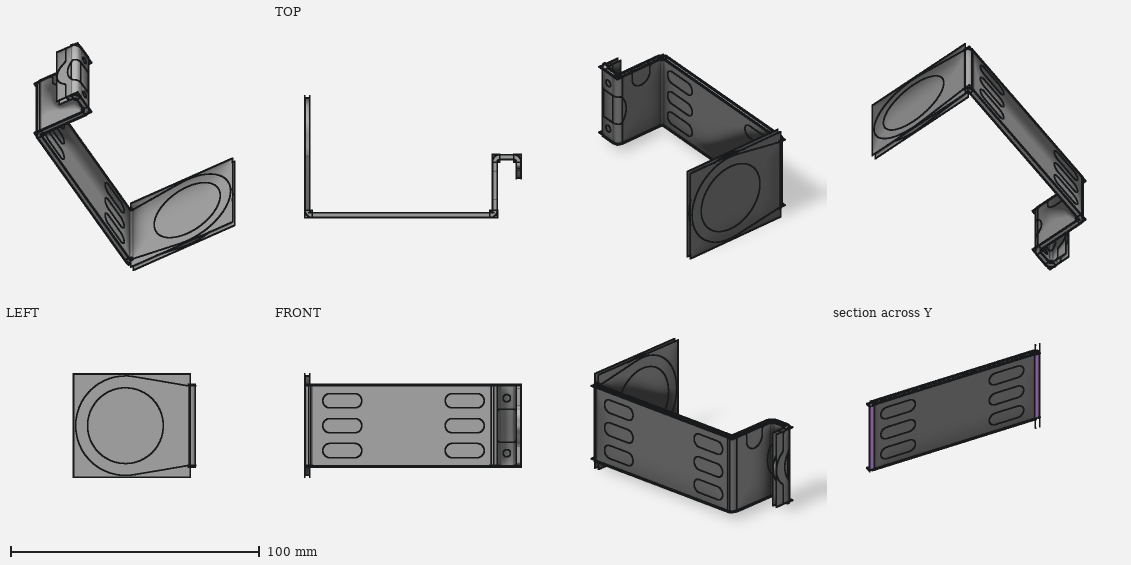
import cadquery as cq
import math

overall_x = 87.1
overall_y = 49.1
overall_z = 41.6

thickness = 2.0
bend_outer = 3.0
bend_inner = bend_outer - thickness
strip_half = 16.0
joint_overlap = 0.1

overshoot = 0.02
sheet_thickness = 0.04
sheet_inset = 0.01
flap_rise = 0.03
corner_overhang = overshoot * bend_outer
sheet_half = strip_half * (1 + 2 * overshoot)

strip_x = overall_x - 2 * corner_overhang
arm_x = 77.4
flange_y = 25.3
bridge_end = arm_x - bend_outer
flange_start = arm_x + bend_inner
flange_end = strip_x - bend_outer
arm_end = flange_y - bend_outer

disc_radius = overall_z / 2 / (1 + 2 * overshoot)
plate_length = (overall_y - corner_overhang - bend_outer) / (1 + overshoot)
plate_top = bend_outer + plate_length
disc_y = plate_top - disc_radius
disc_hole_radius = 15.2

tongue_depth = 9.5
shoulder_depth = 5.5
tab_corner_radius = 1.05
tongue_radius = 8.5
tongue_fillet = 1.9
tab_end = flange_y - tongue_depth

slot_length = 15.7
slot_height = 5.75
slot_pitch = 10.0
slot_columns = (15.1, 64.3)
pin_hole_diameter = 3.0
pin_hole_z = 11.1
window_half = 6.6
window_depth = 4.6
notch_depth = 8.0
notch_radius = 4.6
notch_mouth_radius = 1.1
notch_flange_distance = 12.3
notch_y = flange_y - notch_flange_distance


def box(x_range, y_range, z_range):
    """Box between the given limits."""
    size = [high - low for low, high in (x_range, y_range, z_range)]
    corner = (x_range[0], y_range[0], z_range[0])
    return cq.Workplane("XY").box(*size, centered=False).translate(corner)


def strip_edge(offset, start_y, end_y):
    """Corners (x, y, radius) of the strip path, offset inward from its front left face."""
    left_turn = bend_outer - offset
    right_turn = bend_inner + offset
    tab_x = strip_x - thickness + offset
    top_y = flange_y - thickness + offset
    return [
        (offset, start_y, 0),
        (offset, offset, left_turn),
        (arm_x - offset, offset, left_turn),
        (arm_x - offset, top_y, right_turn),
        (tab_x, top_y, right_turn),
        (tab_x, end_y, 0),
    ]


def toward(start, end, distance):
    """Point at a distance from start on the line to end."""
    span = math.hypot(end[0] - start[0], end[1] - start[1])
    return tuple(start[i] + (end[i] - start[i]) * distance / span for i in range(2))


def trace(sketch, corners):
    """Draw lines through the corners, rounding each inner one by its radius."""
    for before, corner, after in zip(corners, corners[1:], corners[2:]):
        radius = corner[2]
        enter = toward(corner, before, radius)
        leave = toward(corner, after, radius)
        centre = (enter[0] + leave[0] - corner[0], enter[1] + leave[1] - corner[1])
        sketch = sketch.lineTo(*enter).threePointArc(toward(centre, corner, radius), leave)
    return sketch.lineTo(*corners[-1][:2])


def ribbon(near, far, half, start_y=bend_outer + joint_overlap, end_y=arm_end - joint_overlap):
    """Bent layer between two depths in the strip thickness."""
    outgoing = strip_edge(near, start_y, end_y)
    returning = strip_edge(far, start_y, end_y)[::-1]
    sketch = trace(cq.Workplane("XY", origin=(0, 0, -half)).moveTo(*outgoing[0][:2]), outgoing)
    sketch = trace(sketch.lineTo(*returning[0][:2]), returning)
    return sketch.close().extrude(2 * half)


def yz_plane(x):
    """Sketch plane facing +X, with local axes along Y and Z."""
    return cq.Workplane("YZ", origin=(x, 0, 0))


def round_plate():
    """Plate that tapers along tangents from the disc to the bend."""
    drop = disc_y - bend_outer
    reach = math.hypot(drop, strip_half)
    angle = math.atan2(strip_half, -drop) - math.acos(disc_radius / reach)
    tangent_y = disc_y + disc_radius * math.cos(angle)
    tangent_z = disc_radius * math.sin(angle)
    return (
        yz_plane(0)
        .moveTo(bend_outer, -strip_half)
        .lineTo(tangent_y, -tangent_z)
        .threePointArc((plate_top, 0), (tangent_y, tangent_z))
        .lineTo(bend_outer, strip_half)
        .close()
        .extrude(thickness)
    )


def hook_tab():
    """Tab with rounded corners and a tongue that blends into the shoulders."""
    shoulder_y = flange_y - shoulder_depth
    shoulders = box((strip_x - thickness, strip_x), (shoulder_y, arm_end), (-strip_half, strip_half))
    shoulders = shoulders.edges("|X and <Y").fillet(tab_corner_radius)

    centre_y = tab_end + tongue_radius
    blend_y = shoulder_y - tongue_fillet
    centre_span = tongue_radius + tongue_fillet
    blend_z = math.sqrt(centre_span**2 - (centre_y - blend_y) ** 2)
    touch = toward((centre_y, 0), (blend_y, blend_z), tongue_radius)
    blend_mid = toward(
        (blend_y, blend_z),
        ((touch[0] + shoulder_y) / 2, (touch[1] + blend_z) / 2),
        tongue_fillet,
    )
    tongue = (
        yz_plane(strip_x - thickness)
        .moveTo(arm_end, blend_z)
        .lineTo(shoulder_y, blend_z)
        .threePointArc(blend_mid, touch)
        .threePointArc((tab_end, 0), (touch[0], -touch[1]))
        .threePointArc((blend_mid[0], -blend_mid[1]), (shoulder_y, -blend_z))
        .lineTo(arm_end, -blend_z)
        .close()
        .extrude(thickness)
    )
    return shoulders.union(tongue)


def disc_hole():
    """Large hole in the middle of the disc."""
    return yz_plane(0).center(disc_y, 0).circle(disc_hole_radius).extrude(thickness)


def bridge_slots():
    """Two columns of three slots across the front face."""
    places = [(x, row * slot_pitch) for x in slot_columns for row in (-1, 0, 1)]
    front = cq.Workplane("XZ", origin=(0, thickness, 0))
    return front.pushPoints(places).slot2D(slot_length, slot_height).extrude(thickness)


def pin_holes():
    """Pair of holes in the middle of the flange."""
    x = (arm_x - thickness + strip_x) / 2
    top = cq.Workplane("XZ", origin=(0, flange_y, 0))
    places = [(x, -pin_hole_z), (x, pin_hole_z)]
    return top.pushPoints(places).circle(pin_hole_diameter / 2).extrude(thickness)


def hook_window():
    """Window across the flange, with arched ends in the arm and the tab."""
    arch_y = flange_y - thickness
    return (
        yz_plane(arm_x - thickness)
        .moveTo(flange_y, -window_half)
        .lineTo(arch_y, -window_half)
        .threePointArc((flange_y - window_depth, 0), (arch_y, window_half))
        .lineTo(flange_y, window_half)
        .close()
        .extrude(strip_x - arm_x + thickness)
    )


def arm_notch():
    """U-shaped notch with a flared mouth in the upper edge of the arm."""
    near_side = notch_y - notch_radius
    far_side = notch_y + notch_radius
    side_z = strip_half - notch_mouth_radius
    bottom_z = strip_half - notch_depth
    round_z = bottom_z + notch_radius
    flare = notch_mouth_radius * (1 - math.sqrt(0.5))
    flare_z = strip_half - flare
    return (
        yz_plane(arm_x - thickness)
        .moveTo(near_side - notch_mouth_radius, strip_half)
        .threePointArc((near_side - flare, flare_z), (near_side, side_z))
        .lineTo(near_side, round_z)
        .threePointArc((notch_y, bottom_z), (far_side, round_z))
        .lineTo(far_side, side_z)
        .threePointArc((far_side + flare, flare_z), (far_side + notch_mouth_radius, strip_half))
        .close()
        .extrude(thickness)
    )


def widened(start, end):
    """Limits of a sheet that runs past a face from start to end."""
    extra = overshoot * (end - start)
    return (start - extra, end + extra)


def corner_flaps():
    """Thin square flaps over both ends of each bend."""
    starts = [
        (0, 0),
        (bridge_end, 0),
        (arm_x - thickness, arm_end),
        (flange_end, arm_end),
    ]
    flaps = []
    for x, y in starts:
        for z in (-strip_half - flap_rise, strip_half + flap_rise - sheet_thickness):
            flaps.append(
                box(widened(x, x + bend_outer), widened(y, y + bend_outer), (z, z + sheet_thickness))
            )
    return flaps


body = ribbon(0, thickness, strip_half).union(round_plate()).union(hook_tab())

inner_depth = thickness - sheet_inset
inner_core = ribbon(sheet_inset, inner_depth, strip_half - sheet_inset, plate_top, tab_end)
for opening in (disc_hole(), bridge_slots(), pin_holes(), hook_window(), arm_notch()):
    body = body.cut(opening.cut(inner_core))

strip_z = (-sheet_half, sheet_half)
plate_z = (-overall_z / 2, overall_z / 2)
tab_z = (-strip_half, strip_half)
for near in (sheet_inset, inner_depth - sheet_thickness):
    far = near + sheet_thickness
    sheets = [
        ribbon(near, far, sheet_half),
        box((near, far), widened(bend_outer, plate_top), plate_z),
        box(widened(bend_outer, bridge_end), (near, far), strip_z),
        box((arm_x - far, arm_x - near), widened(bend_outer, arm_end), strip_z),
        box(widened(flange_start, flange_end), (flange_y - far, flange_y - near), strip_z),
        box((strip_x - far, strip_x - near), widened(tab_end, arm_end), tab_z),
    ]
    for sheet in sheets:
        body = body.union(sheet)

for flap in corner_flaps():
    body = body.union(flap)

result = body